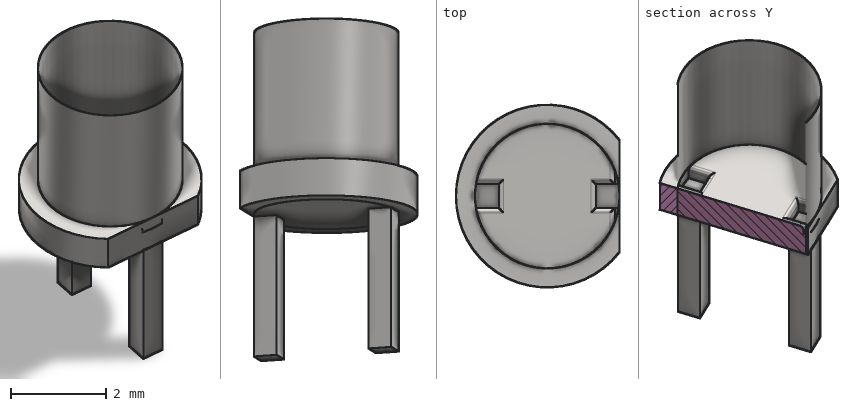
import cadquery as cq

flange_radius = 1.92
flange_height = 0.8
tube_radius = 1.52
tube_wall = 0.0035
bore_radius = tube_radius - tube_wall
flat_x = tube_radius

lead_width = 0.5
lead_length = 3.0
lead_x = tube_radius - lead_width / 2

total_height = 6.88
tube_top = total_height - lead_length

edge_round = 0.1
ledge_width = edge_round
ledge_x = flat_x - ledge_width
ledge_depth = 0.2
recess_depth = 0.3


def block(x_min, x_max, width, z_min, z_max):
    """A box between two X and two Z values, centred on Y = 0."""
    return (
        cq.Workplane("XY", origin=((x_min + x_max) / 2, 0, z_min))
        .rect(x_max - x_min, width)
        .extrude(z_max - z_min)
    )


def lead_prism(side, z_min, z_max):
    """A prism with the section of one lead; side is -1 or 1 for the -X or +X lead."""
    middle = side * lead_x
    return block(middle - lead_width / 2, middle + lead_width / 2, lead_width, z_min, z_max)


def make_can():
    """The flange and the tube, with one bore through both."""
    flange = cq.Workplane("XY").circle(flange_radius).extrude(flange_height)
    beyond_flat = block(flat_x, flange_radius, 2 * flange_radius, 0, flange_height)
    tube = cq.Workplane("XY").circle(tube_radius).extrude(tube_top)
    bore = cq.Workplane("XY").circle(bore_radius).extrude(tube_top)
    return flange.cut(beyond_flat).union(tube).cut(bore)


def make_floor():
    """The plug's raised floor: notched over the leads, with its straight top edges rounded."""
    floor = cq.Workplane("XY").circle(bore_radius).extrude(flange_height)
    ledge_z = flange_height - ledge_depth
    floor = floor.cut(block(ledge_x, tube_radius, 2 * tube_radius, ledge_z, flange_height))
    recess_z = flange_height - recess_depth
    for side in (-1, 1):
        floor = floor.cut(lead_prism(side, recess_z, flange_height))
    return floor.faces(">Z").edges("%LINE").fillet(edge_round)


def make_base():
    """The plug and its two leads, which are one body."""
    base = make_floor()
    for side in (-1, 1):
        base = base.union(lead_prism(side, -lead_length, 0))
    return base


can = make_can()
base = make_base()

result = cq.Compound.makeCompound([can.solids().val(), base.solids().val()])